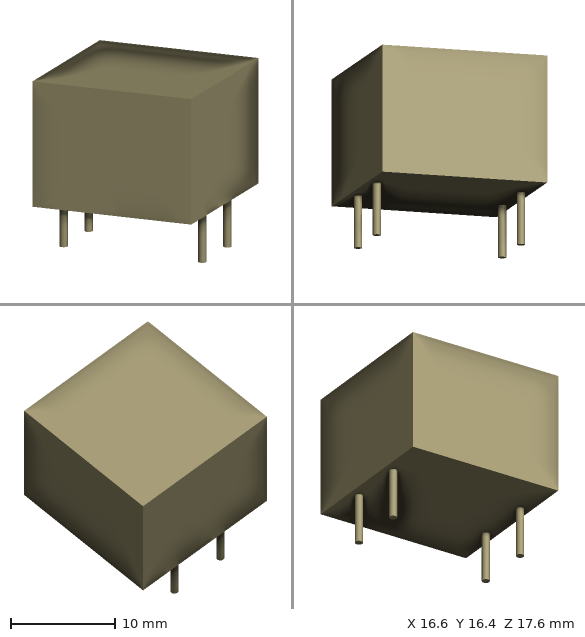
import cadquery as cq

body_length = 16.6
body_width = 16.4
total_height = 17.6

pin_diameter = 0.8
pin_length = 5.1
pin_spacing_x = 14.5
pin_spacing_y = 6.09

body_height = total_height - pin_length


def make_body():
    """Plain block with its underside at Z = 0, centred on the Z axis."""
    return cq.Workplane("XY").box(body_length, body_width, body_height, centered=(True, True, False))


def make_pin(x, y):
    """Round pin hanging from the underside of the body."""
    return cq.Workplane("XY").center(x, y).circle(pin_diameter / 2).extrude(-pin_length)


body = make_body()

pins = []
for side_x in (-1, 1):
    for side_y in (-1, 1):
        pin = make_pin(side_x * pin_spacing_x / 2, side_y * pin_spacing_y / 2)
        pins.append(pin.val())

result = cq.Compound.makeCompound([body.val(), *pins])